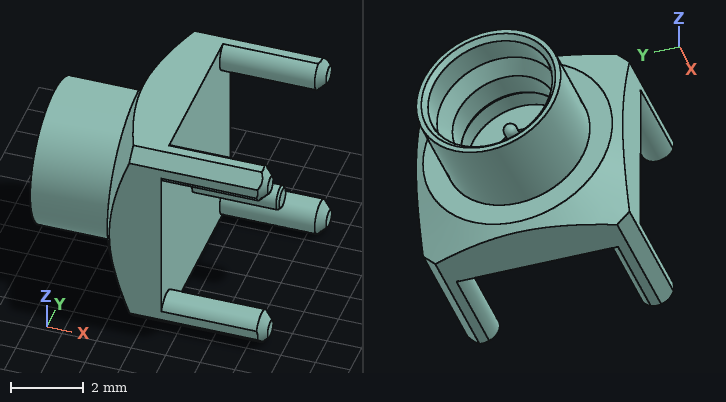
import cadquery as cq
import math


body_side = 6.0
corner_chamfer = 0.36
flange_front = 2.45
flange_back = 4.10
front_face_dia = 5.5
bevel_angle = 30.0

tube_dia = 4.2
mouth_dia = 3.9
entry_dia = 3.61
throat_dia = 3.05
chamber_dia = 3.17
taper_angle = 30.0
entry_end = 0.90
throat_end = 2.14
floor_depth = 2.80

recess_dia = 1.53
recess_depth = 0.10
contact_dia = 0.38
contact_tip = 1.65

tail_dia = 0.7
tail_end = 6.60
tail_chamfer = 0.07
leg_dia = 1.0
leg_spacing = 5.08
leg_end = 7.1
leg_chamfer = 0.25

overlap = 0.3


def cylinder(dia, start, end, y=0.0, z=0.0):
    """Cylinder along X from start to end, with its axis at (y, z)."""
    return cq.Workplane("YZ", origin=(start, y, z)).circle(dia / 2).extrude(end - start)


def revolve_about_x(outline):
    """Turn a closed outline drawn in the XY plane about the X axis."""
    return outline.close().revolve(360, (0, 0, 0), (1, 0, 0))


def square_bar(start, end):
    """Square bar along X with its four long edges chamfered."""
    bar = cq.Workplane("YZ", origin=(start, 0, 0)).rect(body_side, body_side).extrude(end - start)
    return bar.edges("|X").chamfer(corner_chamfer)


def make_flange():
    """Square flange whose front is turned to a cone around a flat round face."""
    face_radius = front_face_dia / 2
    rim_radius = body_side / math.sqrt(2)
    bevel_end = flange_front + (rim_radius - face_radius) * math.tan(math.radians(bevel_angle))
    turned = revolve_about_x(
        cq.Workplane("XY")
        .moveTo(flange_front, 0)
        .lineTo(flange_front, face_radius)
        .lineTo(bevel_end, rim_radius)
        .lineTo(flange_back, rim_radius)
        .lineTo(flange_back, 0)
    )
    return square_bar(flange_front, flange_back).intersect(turned)


def make_legs():
    """Round legs at the four corners, trimmed flush with the sides of the flange."""
    start = flange_back - overlap
    legs = square_bar(start, leg_end)
    rods = cq.Workplane("YZ")
    for side_y in (-1, 1):
        for side_z in (-1, 1):
            rod = cylinder(leg_dia, start, leg_end, side_y * leg_spacing / 2, side_z * leg_spacing / 2)
            rods = rods.add(rod.faces(">X").chamfer(leg_chamfer))
    return legs.intersect(rods.combine())


def make_socket_cavity():
    """Stepped bore: mouth chamfer, entry, narrowed throat and flared inner chamber."""
    taper = math.tan(math.radians(taper_angle))
    mouth_chamfer = (mouth_dia - entry_dia) / 2
    throat_start = entry_end + (entry_dia - throat_dia) / 2 / taper
    chamber_start = throat_end + (chamber_dia - throat_dia) / 2 / taper
    bore = revolve_about_x(
        cq.Workplane("XY")
        .moveTo(0, 0)
        .lineTo(0, mouth_dia / 2)
        .lineTo(mouth_chamfer, entry_dia / 2)
        .lineTo(entry_end, entry_dia / 2)
        .lineTo(throat_start, throat_dia / 2)
        .lineTo(throat_end, throat_dia / 2)
        .lineTo(chamber_start, chamber_dia / 2)
        .lineTo(floor_depth, chamber_dia / 2)
        .lineTo(floor_depth, 0)
    )
    return bore.union(cylinder(recess_dia, floor_depth, floor_depth + recess_depth))


def make_contact():
    """Thin contact with a hemispherical tip."""
    radius = contact_dia / 2
    root = floor_depth + recess_depth + overlap
    tip_bulge = radius * math.sqrt(0.5)
    return revolve_about_x(
        cq.Workplane("XY")
        .moveTo(contact_tip, 0)
        .threePointArc((contact_tip + radius - tip_bulge, tip_bulge), (contact_tip + radius, radius))
        .lineTo(root, radius)
        .lineTo(root, 0)
    )


def make_tail():
    """Solder pin in the middle of the flange back."""
    return cylinder(tail_dia, flange_back - overlap, tail_end).faces(">X").chamfer(tail_chamfer)


tube = cylinder(tube_dia, 0, flange_front + overlap)
body = make_flange().union(tube).cut(make_socket_cavity())
result = body.union(make_contact()).union(make_tail()).union(make_legs())